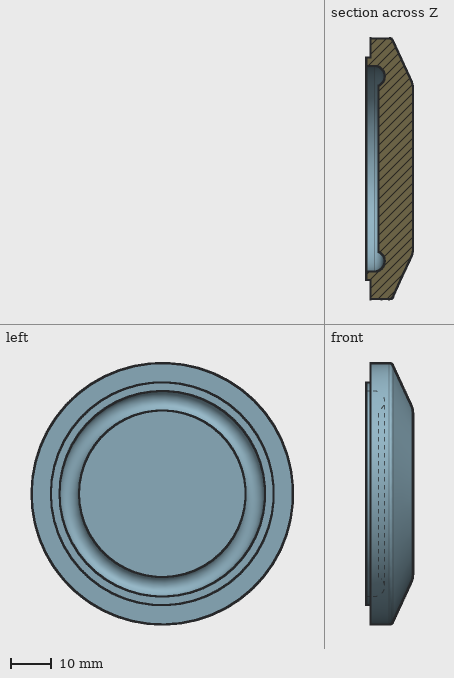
import cadquery as cq
import math

outer_radius = 32.0
total_thickness = 11.5

ring_radius = 27.25
ring_height = 1.0

cone_start = 6.3
back_radius = 20.6
rim_rounding = 1.0
back_rounding = 5.0

recess_radius = 25.15
wall_depth = 2.0
floor_depth = 3.0
groove_radius = 2.5
groove_center_radius = recess_radius - groove_radius
floor_radius = groove_center_radius - math.sqrt(groove_radius**2 - (floor_depth - wall_depth) ** 2)


def revolve_about_x(profile):
    return profile.close().revolve(360, (0, 0, 0), (1, 0, 0))


def make_body():
    body = revolve_about_x(
        cq.Workplane("XY")
        .lineTo(0, ring_radius)
        .lineTo(ring_height, ring_radius)
        .lineTo(ring_height, outer_radius)
        .lineTo(cone_start, outer_radius)
        .lineTo(total_thickness, back_radius)
        .lineTo(total_thickness, 0)
    )
    body = body.faces(">X").edges("%CIRCLE").fillet(back_rounding)
    rim_corner = cq.selectors.BoxSelector(
        (cone_start - rim_rounding, -outer_radius, -outer_radius),
        (cone_start + rim_rounding, outer_radius, outer_radius),
    )
    return body.edges("%CIRCLE").edges(rim_corner).fillet(rim_rounding)


def make_recess():
    groove_bottom = (wall_depth + groove_radius, groove_center_radius)
    return revolve_about_x(
        cq.Workplane("XY")
        .lineTo(0, recess_radius)
        .lineTo(wall_depth, recess_radius)
        .threePointArc(groove_bottom, (floor_depth, floor_radius))
        .lineTo(floor_depth, 0)
    )


result = make_body().cut(make_recess())